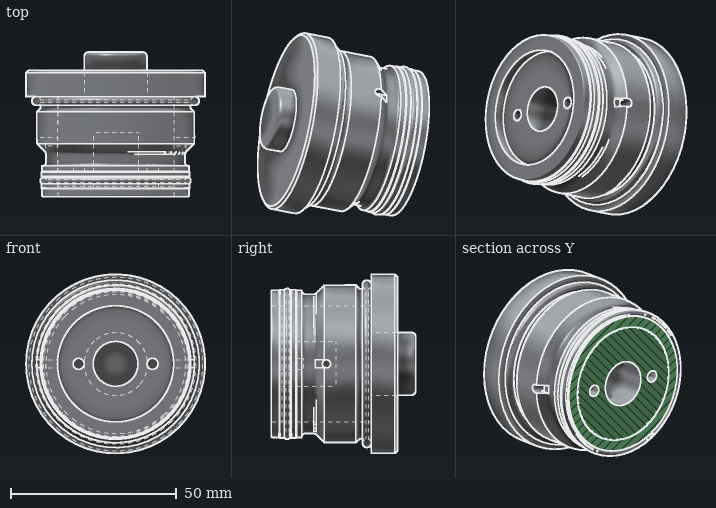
import cadquery as cq
import math

total_length = 43.6

flange_radius = 27.0
flange_front_y = 30.1
flange_back_y = 38.1
flange_chamfer = 0.8

collar_radius = 23.75
collar_front_y = 16.05
collar_back_y = 25.55

flange_groove_radius = 22.6
flange_groove_fillet = 0.15
flange_seal_width = 2.65
flange_seal_section_radius = flange_seal_width / 2
flange_seal_outer_radius = 25.2
flange_seal_bite = 0.025
flange_seal_y = flange_front_y - flange_seal_section_radius + flange_seal_bite

neck_radius = 21.0
neck_front_y = 10.3
neck_fillet = 1.2
shoulder_fillet = 1.0
nose_radius = 22.2
nose_fillet = 0.5

nose_groove_front_y = 2.45
nose_groove_back_y = 7.65
nose_groove_radius = 21.0
backup_radius = 22.35
backup_width = 1.3
backup_gap = 0.2
nose_seal_section_radius = 0.9
nose_seal_outer_radius = 22.7
nose_seal_y = 4.85

piston_radius = 17.5
piston_front_y = 3.25
piston_back_y = flange_front_y
rod_radius = 9.5
rod_fillet = 1.5

bore_radius = 6.75
bore_depth = 16.2
spanner_hole_radius = 1.7
spanner_hole_depth = 6.5
spanner_hole_x = 11.1

notch_width = 2.5
notch_hole_y = 16.7
notch_front_y = 13.2
notch_floor_x = 21.1


def revolve_about_y(profile):
    return profile.revolve(360, (0, 0, 0), (0, 1, 0))


def half_section():
    """Sketch plane whose first coordinate is the radius, laid along -X, and second is Y."""
    return cq.Workplane(cq.Plane(origin=(0, 0, 0), xDir=(-1, 0, 0), normal=(0, 0, -1)))


def square_ring(inner_radius, outer_radius, front_y, width):
    profile = half_section().moveTo(inner_radius, front_y)
    profile = profile.lineTo(outer_radius, front_y).lineTo(outer_radius, front_y + width)
    return revolve_about_y(profile.lineTo(inner_radius, front_y + width).close())


def round_ring(outer_radius, section_radius, y):
    centre_radius = outer_radius - section_radius
    return revolve_about_y(cq.Workplane("XY").moveTo(-centre_radius, y).circle(section_radius))


def axial_cylinder(radius, front_y, length, x=0):
    return cq.Workplane("XZ", origin=(x, front_y, 0)).circle(radius).extrude(-length)


def sleeve_blank():
    rise = 1 - math.cos(math.radians(45))
    run = math.sin(math.radians(45))

    front_cone_end_radius = neck_radius + neck_fillet * rise
    front_cone_end_y = collar_front_y - (collar_radius - front_cone_end_radius)
    neck_back_y = front_cone_end_y - neck_fillet * run

    back_cone_end_radius = flange_groove_radius + flange_groove_fillet * rise
    back_cone_end_y = collar_back_y + (collar_radius - back_cone_end_radius)
    flange_groove_front_y = back_cone_end_y + flange_groove_fillet * run

    shoulder_y = neck_front_y - shoulder_fillet
    return revolve_about_y(
        half_section()
        .moveTo(0, 0)
        .lineTo(nose_radius - nose_fillet, 0)
        .radiusArc((nose_radius, nose_fillet), -nose_fillet)
        .lineTo(nose_radius, nose_groove_front_y)
        .lineTo(nose_groove_radius, nose_groove_front_y)
        .lineTo(nose_groove_radius, nose_groove_back_y)
        .lineTo(nose_radius, nose_groove_back_y)
        .lineTo(nose_radius, shoulder_y)
        .lineTo(neck_radius + shoulder_fillet, shoulder_y)
        .radiusArc((neck_radius, neck_front_y), shoulder_fillet)
        .lineTo(neck_radius, neck_back_y)
        .radiusArc((front_cone_end_radius, front_cone_end_y), neck_fillet)
        .lineTo(collar_radius, collar_front_y)
        .lineTo(collar_radius, collar_back_y)
        .lineTo(back_cone_end_radius, back_cone_end_y)
        .radiusArc((flange_groove_radius, flange_groove_front_y), flange_groove_fillet)
        .lineTo(flange_groove_radius, flange_front_y)
        .lineTo(flange_radius, flange_front_y)
        .lineTo(flange_radius, flange_back_y - flange_chamfer)
        .lineTo(flange_radius - flange_chamfer, flange_back_y)
        .lineTo(0, flange_back_y)
        .close()
    )


def add_seals(sleeve):
    sleeve = sleeve.union(
        round_ring(flange_seal_outer_radius, flange_seal_section_radius, flange_seal_y)
    )
    front_backup_y = nose_groove_front_y + backup_gap
    back_backup_y = nose_groove_back_y - backup_gap - backup_width
    for backup_y in (front_backup_y, back_backup_y):
        sleeve = sleeve.union(square_ring(nose_groove_radius, backup_radius, backup_y, backup_width))
    return sleeve.union(round_ring(nose_seal_outer_radius, nose_seal_section_radius, nose_seal_y))


def side_notch(side):
    """Cutter for one notch; side is -1 or +1 along X."""
    hole = cq.Workplane("YZ", origin=(0, notch_hole_y, 0)).circle(notch_width / 2)
    hole = hole.extrude(side * flange_radius)
    slot_depth = flange_radius - notch_floor_x
    slot = cq.Workplane("XY").box(slot_depth, notch_hole_y - notch_front_y, notch_width)
    slot_x = side * (notch_floor_x + slot_depth / 2)
    return hole.union(slot.translate((slot_x, (notch_hole_y + notch_front_y) / 2, 0)))


def make_sleeve():
    sleeve = add_seals(sleeve_blank())
    sleeve = sleeve.cut(axial_cylinder(piston_radius, 0, piston_back_y))
    sleeve = sleeve.cut(axial_cylinder(rod_radius, 0, total_length))
    for side in (-1, 1):
        sleeve = sleeve.cut(side_notch(side))
    return sleeve


def make_piston():
    piston = revolve_about_y(
        half_section()
        .moveTo(0, piston_front_y)
        .lineTo(piston_radius, piston_front_y)
        .lineTo(piston_radius, piston_back_y)
        .lineTo(rod_radius, piston_back_y)
        .lineTo(rod_radius, total_length - rod_fillet)
        .radiusArc((rod_radius - rod_fillet, total_length), -rod_fillet)
        .lineTo(0, total_length)
        .close()
    )
    piston = piston.cut(axial_cylinder(bore_radius, piston_front_y, bore_depth))
    for x in (-spanner_hole_x, spanner_hole_x):
        piston = piston.cut(axial_cylinder(spanner_hole_radius, piston_front_y, spanner_hole_depth, x))
    return piston


sleeve = make_sleeve()
piston = make_piston()

result = cq.Compound.makeCompound([sleeve.solids().val(), piston.solids().val()])